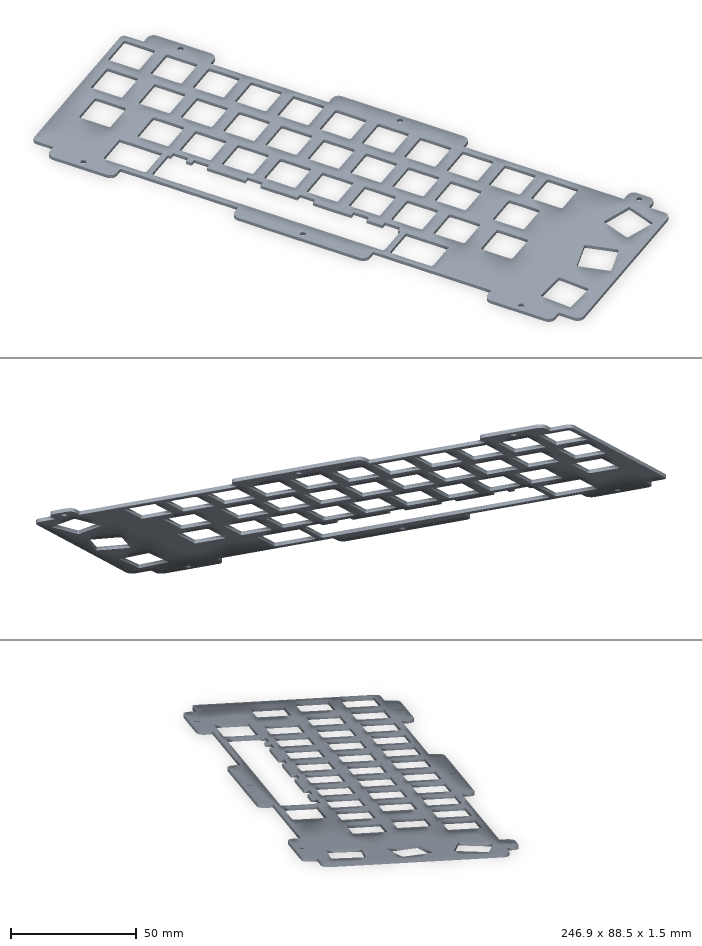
import cadquery as cq

length = 246.9
body_depth = 76.5
tab_height = 6.0
thickness = 1.5
left_corner_radius = 2.0
right_corner_radius = 3.0
tab_corner_radius = 3.0

right_tabs_end = 113.5
left_tab = (-113.8, -83.7)
middle_tab = (-30.5, 30.0)
right_tab = (83.2, right_tabs_end)
small_right_tab = (102.2, right_tabs_end)
back_tabs = [left_tab, middle_tab, small_right_tab]
front_tabs = [left_tab, middle_tab, right_tab]

screw_hole_diameter = 2.4
screw_hole_y = 41.2
back_hole_xs = [-98.7, 0.0, 107.6]
front_hole_xs = [-98.7, 0.0, 98.3]

keys_per_row = 11
first_row_span = 190.3
key_pitch = first_row_span / (keys_per_row - 1)
block_left = -length / 2
block_center_x = block_left + keys_per_row * key_pitch / 2
first_row_y = 28.5
key_size = 14.0
key_corner_radius = 0.62

key_row_widths = [
    [1] * keys_per_row,
    [1.25] + [1] * 8 + [1.75],
    [1.75] + [1] * 8 + [1.25],
]

bottom_row_y = first_row_y - len(key_row_widths) * key_pitch
space_window_length = 104.7
side_window_length = 19.3
side_window_offset = 64.5
window_corner_radius = 1.2

notch_width = 7.0
notch_height = 2.2
notch_offsets = [-47.6, -38.3, -14.0, 9.5, 33.5, 47.6]

angled_keys = [
    (110.8, 26.0, -19.5),
    (110.8, 0.0, 15.0),
    (109.5, -25.7, -4.0),
]


def block(x_size, y_size, x, y):
    """Full-thickness block standing on the XY plane, centred on (x, y)."""
    shape = cq.Workplane("XY").box(x_size, y_size, thickness, centered=(True, True, False))
    return shape.translate((x, y, 0))


def tab(ends, side):
    """Mounting tab on the back (side = 1) or front (side = -1) edge of the body."""
    left, right = ends
    outer_y = body_depth / 2 + tab_height
    shape = block(right - left, outer_y, (left + right) / 2, side * outer_y / 2)
    outer_face = ">Y" if side > 0 else "<Y"
    return shape.faces(outer_face).edges("|Z").fillet(tab_corner_radius)


def plate():
    body = block(length, body_depth, 0, 0)
    body = body.edges("|Z and <X").fillet(left_corner_radius)
    body = body.edges("|Z and >X").fillet(right_corner_radius)
    for ends in back_tabs:
        body = body.union(tab(ends, 1))
    for ends in front_tabs:
        body = body.union(tab(ends, -1))
    return body.clean()


def screw_holes():
    points = [(x, screw_hole_y) for x in back_hole_xs]
    points += [(x, -screw_hole_y) for x in front_hole_xs]
    return cq.Workplane("XY").pushPoints(points).circle(screw_hole_diameter / 2).extrude(thickness)


def key_opening(x, y, angle=0):
    opening = block(key_size, key_size, 0, 0).edges("|Z").fillet(key_corner_radius)
    return opening.rotate((0, 0, 0), (0, 0, 1), angle).translate((x, y, 0))


def key_row_openings(widths, y):
    """Openings centred under keys of the given widths, laid side by side from the left."""
    openings = []
    key_left = block_left
    for width in widths:
        key_width = width * key_pitch
        openings.append(key_opening(key_left + key_width / 2, y))
        key_left += key_width
    return openings


def bottom_window(window_length, x):
    """Window whose two front corners are rounded."""
    window = block(window_length, key_size, x, bottom_row_y)
    return window.faces("<Y").edges("|Z").fillet(window_corner_radius)


def space_bar_window():
    window = bottom_window(space_window_length, block_center_x)
    window_back = bottom_row_y + key_size / 2
    for offset in notch_offsets:
        notch = block(notch_width, 2 * notch_height, block_center_x + offset, window_back)
        window = window.union(notch)
    return window


result = plate().cut(screw_holes())

for row, widths in enumerate(key_row_widths):
    for opening in key_row_openings(widths, first_row_y - row * key_pitch):
        result = result.cut(opening)

for x, y, angle in angled_keys:
    result = result.cut(key_opening(x, y, angle))

result = result.cut(space_bar_window())
for side in (-1, 1):
    result = result.cut(bottom_window(side_window_length, block_center_x + side * side_window_offset))